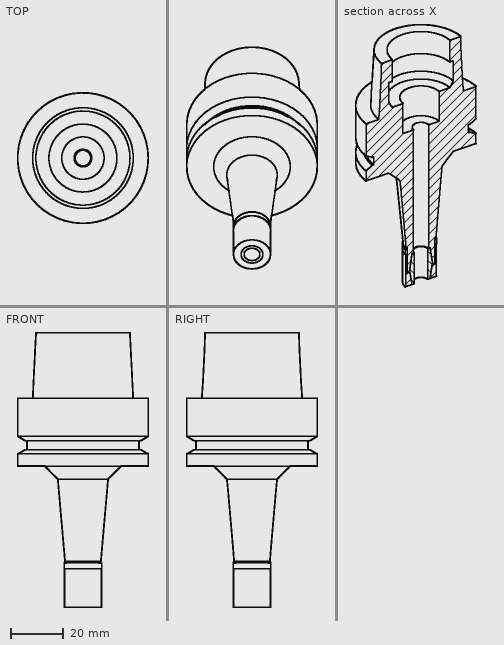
import cadquery as cq
import math


shank_length = 25.0
shank_gauge_radius = 19.0
shank_gauge_height = 5.0
shank_slope = 1 / 20
shank_base_radius = shank_gauge_radius + shank_slope * shank_gauge_height
shank_top_radius = shank_base_radius - shank_slope * shank_length

flange_radius = 25.0
flange_bottom = -26.0
groove_center = -18.0
groove_mouth_width = 6.7
groove_floor_width = 3.4
groove_flank_angle = math.radians(60)
groove_neck_radius = 21.5
flank_drop = (groove_mouth_width - groove_floor_width) / 2 * math.tan(groove_flank_angle)
groove_flank_radius = flange_radius - flank_drop

overall_projection = 80.0
nose_end = -overall_projection
cone_height = 5.0
body_top_radius = 9.65
body_top = flange_bottom - cone_height
cone_top_radius = body_top_radius + cone_height
body_bottom = -62.4
body_bottom_radius = 6.9
spigot_radius = 6.3
spigot_end = -74.0

mouth_radius = 13.0
mouth_depth = 10.0
undercut_radius = 14.5
undercut_depth = 18.9
foot_angle = math.radians(30)
foot_height = (undercut_radius - mouth_radius) / math.tan(foot_angle)
pocket_radius = 8.1
pocket_floor = -10.0
through_bore_radius = 3.35

collet_bore_radius = 3.0
collet_tail_radius = 4.0
collet_tail = -66.0
collet_seat_radius = 5.2
collet_face_radius = 4.2

nut_radius = 7.1
nut_collar_radius = 7.2
nut_gap = 0.6
nut_top = body_bottom - nut_gap
nut_collar_height = 2.2
nut_collar_bottom = nut_top - nut_collar_height


def turned(profile):
    """Revolve a closed (radius, height) profile about the Z axis."""
    return cq.Workplane("XZ").polyline(profile).close().revolve(360, (0, 0), (0, 1))


def make_holder():
    groove_mouth_top = groove_center + groove_mouth_width / 2
    groove_floor_top = groove_center + groove_floor_width / 2
    groove_floor_bottom = groove_center - groove_floor_width / 2
    groove_mouth_bottom = groove_center - groove_mouth_width / 2
    undercut_top = shank_length - mouth_depth
    undercut_bottom = shank_length - undercut_depth
    cavity_floor = undercut_bottom - foot_height
    outside = [
        (shank_top_radius, shank_length),
        (shank_base_radius, 0),
        (flange_radius, 0),
        (flange_radius, groove_mouth_top),
        (groove_flank_radius, groove_floor_top),
        (groove_neck_radius, groove_floor_top),
        (groove_neck_radius, groove_floor_bottom),
        (groove_flank_radius, groove_floor_bottom),
        (flange_radius, groove_mouth_bottom),
        (flange_radius, flange_bottom),
        (cone_top_radius, flange_bottom),
        (body_top_radius, body_top),
        (body_bottom_radius, body_bottom),
        (spigot_radius, body_bottom),
        (spigot_radius, spigot_end),
    ]
    inside = [
        (collet_seat_radius, spigot_end),
        (collet_tail_radius, collet_tail),
        (through_bore_radius, collet_tail),
        (through_bore_radius, pocket_floor),
        (pocket_radius, pocket_floor),
        (pocket_radius, cavity_floor),
        (mouth_radius, cavity_floor),
        (undercut_radius, undercut_bottom),
        (undercut_radius, undercut_top),
        (mouth_radius, undercut_top),
        (mouth_radius, shank_length),
    ]
    return turned(outside + inside)


def make_collet():
    return turned([
        (collet_bore_radius, collet_tail),
        (collet_tail_radius, collet_tail),
        (collet_seat_radius, spigot_end),
        (collet_face_radius, nose_end),
        (collet_bore_radius, nose_end),
    ])


def make_nut():
    return turned([
        (spigot_radius, nut_top),
        (nut_collar_radius, nut_top),
        (nut_collar_radius, nut_collar_bottom),
        (nut_radius, nut_collar_bottom),
        (nut_radius, nose_end),
        (collet_face_radius, nose_end),
        (collet_seat_radius, spigot_end),
        (spigot_radius, spigot_end),
    ])


holder = make_holder()
collet = make_collet()
nut = make_nut()

result = cq.Compound.makeCompound([holder.val(), collet.val(), nut.val()])